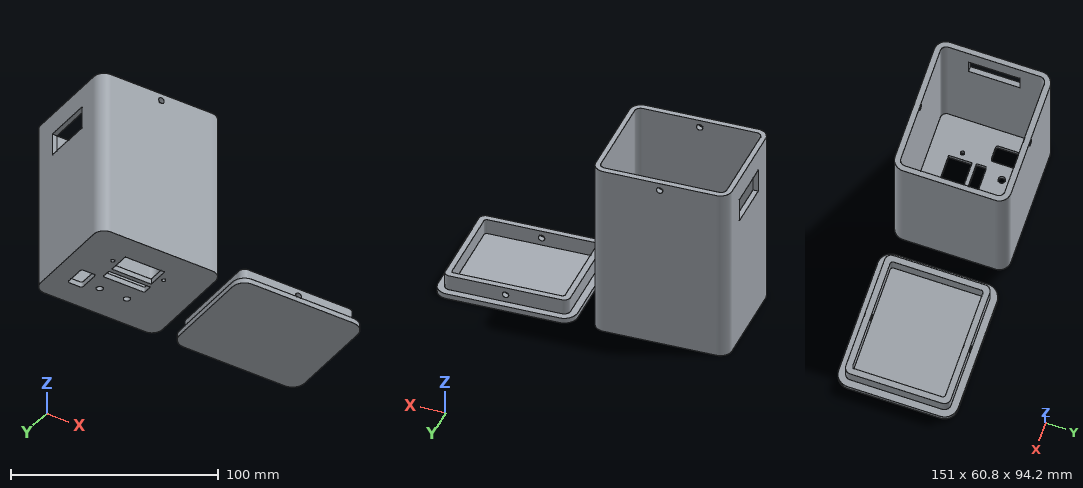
import cadquery as cq

housing_length = 69.9
housing_depth = 59.0
housing_height = 94.2
housing_corner_radius = 6.0
cavity_length = 64.5
cavity_depth = 52.8
cavity_corner_radius = 3.0
floor_thickness = 3.0

cross_hole_diameter = 3.2
cross_hole_below_rim = 4.0

window_width = 26.1
window_height = 12.4
window_below_rim = 11.8

socket_length = 8.3
socket_depth = 12.2
socket_corner_radius = 1.4
socket_center = (-20.2, 9.8)
round_hole_diameter = 3.5
round_hole_spacing = 15.5
round_hole_center = (-0.8, 11.9)
slot_length = 23.7
slot_depth = 5.1
slot_corner_radius = 0.6
slot_center = (-0.6, 0.3)
connector_length = 22.5
connector_depth = 11.8
connector_center = (-0.9, -10.4)
screw_hole_diameter = 2.0
screw_hole_spacing = 29.1

overall_length = 151.0
lid_length = 71.7
lid_depth = 60.8
lid_corner_radius = 7.0
lid_thickness = 2.9
lip_length = 64.3
lip_depth = 53.5
lip_height = 8.2
lip_corner_radius = 3.3
lip_wall = 3.2
lip_inner_radius = 1.4
lid_center_x = overall_length - (housing_length + lid_length) / 2
lid_center_y = -0.5


def rounded_block(length, depth, height, radius, base_z=0.0):
    """Block centred on the Z axis, with rounded vertical edges."""
    block = cq.Workplane("XY").box(length, depth, height, centered=(True, True, False))
    return block.edges("|Z").fillet(radius).translate((0, 0, base_z))


def cross_hole_cutter(height):
    """Cylinder along Y, long enough to pass through both opposite walls."""
    return cq.Workplane("XZ", origin=(0, 0, height)).circle(cross_hole_diameter / 2).extrude(lid_depth, both=True)


def hole_pair_cutter(diameter, spacing, center):
    """Two vertical cylinders side by side along X, as deep as the floor."""
    offsets = [(-spacing / 2, 0), (spacing / 2, 0)]
    pair = cq.Workplane("XY", origin=(*center, 0)).pushPoints(offsets).circle(diameter / 2)
    return pair.extrude(floor_thickness)


def cut_floor_openings(body):
    socket = rounded_block(socket_length, socket_depth, floor_thickness, socket_corner_radius)
    body = body.cut(socket.translate((*socket_center, 0)))

    slot = rounded_block(slot_length, slot_depth, floor_thickness, slot_corner_radius)
    body = body.cut(slot.translate((*slot_center, 0)))

    connector = cq.Workplane("XY", origin=(*connector_center, 0)).rect(connector_length, connector_depth)
    body = body.cut(connector.extrude(floor_thickness))

    body = body.cut(hole_pair_cutter(round_hole_diameter, round_hole_spacing, round_hole_center))
    return body.cut(hole_pair_cutter(screw_hole_diameter, screw_hole_spacing, connector_center))


def cut_window(body):
    window_center_z = housing_height - window_below_rim - window_height / 2
    wall_plane = cq.Workplane("YZ", origin=(-housing_length / 2, 0, window_center_z))
    wall_thickness = (housing_length - cavity_length) / 2
    return body.cut(wall_plane.rect(window_width, window_height).extrude(wall_thickness))


def make_housing():
    body = rounded_block(housing_length, housing_depth, housing_height, housing_corner_radius)
    cavity_height = housing_height - floor_thickness
    body = body.cut(
        rounded_block(cavity_length, cavity_depth, cavity_height, cavity_corner_radius, floor_thickness)
    )
    body = cut_floor_openings(body)
    body = cut_window(body)
    return body.cut(cross_hole_cutter(housing_height - cross_hole_below_rim))


def make_lid():
    plate = rounded_block(lid_length, lid_depth, lid_thickness, lid_corner_radius)
    lip = rounded_block(lip_length, lip_depth, lip_height, lip_corner_radius, lid_thickness)
    recess = rounded_block(
        lip_length - 2 * lip_wall, lip_depth - 2 * lip_wall, lip_height, lip_inner_radius, lid_thickness
    )
    body = plate.union(lip).cut(recess)
    body = body.cut(cross_hole_cutter(lid_thickness + cross_hole_below_rim))
    return body.translate((lid_center_x, lid_center_y, 0))


housing = make_housing()
lid = make_lid()

result = cq.Compound.makeCompound([housing.val(), lid.val()])